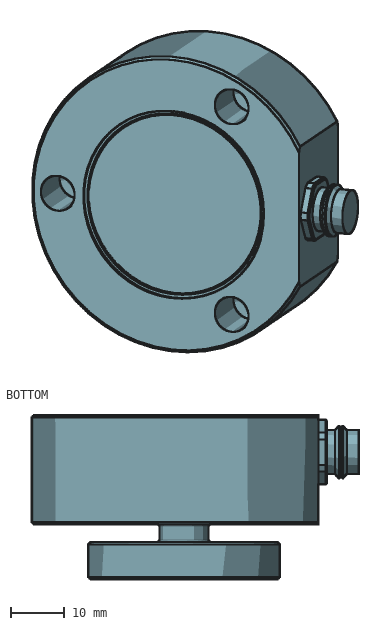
import cadquery as cq
import math

body_diameter = 56.6
body_depth = 20.3
body_chamfer = 0.5
flat_x = 24.9

recess_diameter = 35.9
recess_depth = 0.5
cover_bore_diameter = 34.6
cover_diameter = 34.2
gap_depth = 0.3

hole_diameter = 6.7
hole_depth = 9.7
hole_circle_radius = 23.0
hole_angles = (60, 180, 300)
drill_tip_angle = 118

neck_diameter = 9.15
neck_fillet = 0.3
plate_diameter = 35.6
plate_thickness = 7.0
plate_chamfer = 0.5
overall_depth = 30.5

connector_y = 6.85
connector_end_x = 60.7 - body_diameter / 2
connector_diameter = 8.2
nut_across_flats = 11.05
nut_corner_diameter = 12.0
nut_thickness = 1.65
nut_chamfer = 0.3
ridge_diameter = 9.7
ridge_start = 3.1
ridge_half_width = 0.7
ridge_pitch = 0.7
ridge_valley_diameter = 9.1


def disc(diameter, start_y, length):
    """Cylinder about the main axis, extending toward +Y from start_y."""
    return cq.Workplane("XZ", origin=(0, start_y, 0)).circle(diameter / 2).extrude(-length)


def make_body():
    body = disc(body_diameter, 0, body_depth).edges("%CIRCLE").chamfer(body_chamfer)
    beyond_flat = cq.Workplane("XY").box(
        body_diameter, 2 * body_depth, body_diameter, centered=(False, True, True)
    )
    return body.cut(beyond_flat.translate((flat_x, body_depth / 2, 0)))


def make_cover_recess():
    """Shallow recess whose floor carries a narrow ring groove around the cover."""
    groove = disc(cover_bore_diameter, recess_depth, gap_depth)
    groove = groove.cut(disc(cover_diameter, recess_depth, gap_depth))
    return disc(recess_diameter, 0, recess_depth).union(groove)


def make_mounting_hole(angle):
    radius = hole_diameter / 2
    tip_depth = hole_depth + radius / math.tan(math.radians(drill_tip_angle / 2))
    profile = [(0, 0), (radius, 0), (radius, hole_depth), (0, tip_depth)]
    hole = cq.Workplane("XY").polyline(profile).close().revolve(360, (0, 0), (0, 1))
    return hole.translate((hole_circle_radius, 0, 0)).rotate((0, 0, 0), (0, 1, 0), angle)


def make_neck_and_plate():
    plate_start = overall_depth - plate_thickness
    plate = disc(plate_diameter, plate_start, plate_thickness).edges().chamfer(plate_chamfer)
    neck_radius = neck_diameter / 2
    flare_radius = neck_radius + neck_fillet
    bend = neck_fillet * (1 - math.sqrt(0.5))
    neck = (
        cq.Workplane("XY")
        .moveTo(0, body_depth)
        .lineTo(flare_radius, body_depth)
        .threePointArc((neck_radius + bend, body_depth + bend), (neck_radius, body_depth + neck_fillet))
        .lineTo(neck_radius, plate_start - neck_fillet)
        .threePointArc((neck_radius + bend, plate_start - bend), (flare_radius, plate_start))
        .lineTo(0, plate_start)
        .close()
        .revolve(360, (0, 0), (0, 1))
    )
    return neck.union(plate)


def make_nut():
    flats_to_corners = 1 / math.cos(math.radians(30))
    hexagon = (
        cq.Workplane("YZ")
        .polygon(6, nut_across_flats * flats_to_corners)
        .extrude(nut_thickness)
    )
    rounding = cq.Workplane("YZ").circle(nut_corner_diameter / 2).extrude(nut_thickness)
    return hexagon.intersect(rounding).faces(">X").chamfer(nut_chamfer)


def make_barrel():
    radius = connector_diameter / 2
    peak_radius = ridge_diameter / 2
    first_peak = ridge_start + ridge_half_width
    second_peak = first_peak + ridge_pitch
    profile = [
        (0, 0),
        (0, radius),
        (ridge_start, radius),
        (first_peak, peak_radius),
        (first_peak + ridge_pitch / 2, ridge_valley_diameter / 2),
        (second_peak, peak_radius),
        (second_peak + ridge_half_width, radius),
        (connector_end_x - flat_x, radius),
        (connector_end_x - flat_x, 0),
    ]
    return cq.Workplane("XY").polyline(profile).close().revolve(360, (0, 0), (1, 0))


body = make_body().cut(make_cover_recess())
for hole_angle in hole_angles:
    body = body.cut(make_mounting_hole(hole_angle))

connector = make_nut().union(make_barrel()).translate((flat_x, connector_y, 0))
result = body.union(make_neck_and_plate()).union(connector)